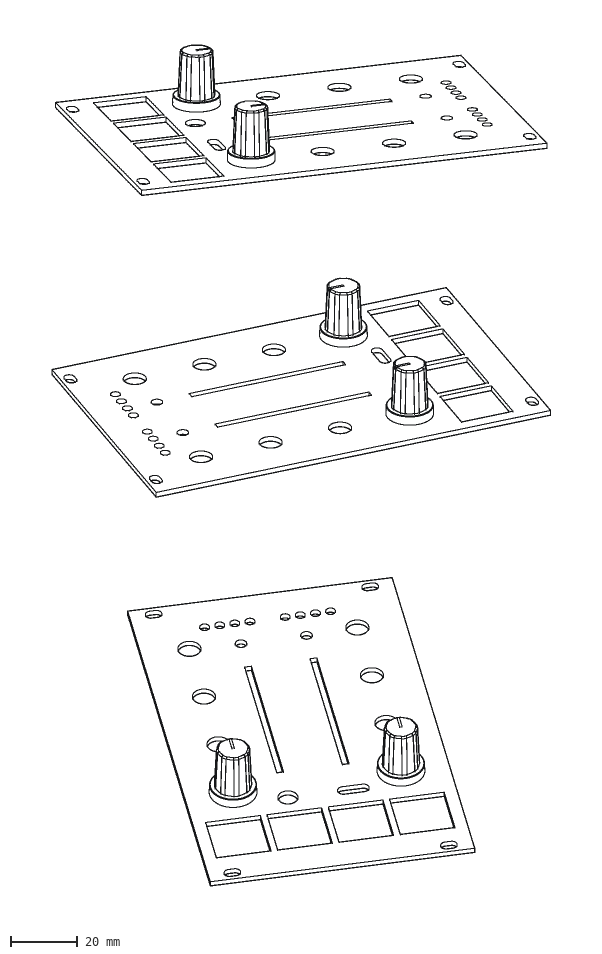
import cadquery as cq
PANEL_WIDTH = 81.0
PANEL_HEIGHT = 128.5
PANEL_THICKNESS = 1.7

SIDES = (-1, 1)

MOUNT_SLOT_LENGTH = 5.0
MOUNT_SLOT_WIDTH = 3.2
MOUNT_X = 33.2
MOUNT_Y = 61.3

LED_HOLE_DIAMETER = 3.0
LED_PITCH = 4.6
LEDS_PER_GROUP = 4
LED_INNER_X = 5.4
LED_Y = 52.4

FADER_X = 10.0
FADER_SLOT_WIDTH = 2.0
FADER_SLOT_LENGTH = 50.1
FADER_SLOT_Y = 6.8
FADER_HOLE_DIAMETER = 3.5
FADER_HOLE_Y = 42.8

CONTROL_X = 25.7
CONTROL_HOLE_DIAMETER = 7.0
CONTROL_TOP_Y = 43.4
KNOB_Y = -24.5
CONTROL_HOLES_PER_COLUMN = 3
CONTROL_PITCH = (CONTROL_TOP_Y - KNOB_Y) / CONTROL_HOLES_PER_COLUMN

PORT_Y = -30.2
JACK_HOLE_DIAMETER = 6.0
PORT_SLOT_LENGTH = 9.6
PORT_SLOT_WIDTH = 3.5

BUTTON_SIZE = 16.7
BUTTON_PITCH = 18.8
BUTTON_COUNT = 4
BUTTON_Y = -45.2

TOTAL_HEIGHT = 18.9
SKIRT_HEIGHT = 3.0
SKIRT_BOTTOM_RADIUS = 7.2
SKIRT_TOP_RADIUS = 7.1
SKIRT_CHAMFER = 0.19

GRIP_HEIGHT = TOTAL_HEIGHT - PANEL_THICKNESS
GRIP_BOTTOM_RADIUS = 5.8
GRIP_TOP_RADIUS = 5.0
GRIP_CHAMFER = 0.5
RIB_COUNT = 8
RIB_WIDTH = 1.5
RIB_HEIGHT = 0.1

POINTER_WIDTH = 0.8
POINTER_DEPTH = 0.6


def make_panel():
    """Flat plate with every opening cut through it."""
    plate = cq.Workplane("XY").rect(PANEL_WIDTH, PANEL_HEIGHT).extrude(PANEL_THICKNESS)

    def at(points):
        """Workplane on the underside of the plate with the given centres."""
        return cq.Workplane("XY").pushPoints(points)

    mounts = [(sx * MOUNT_X, sy * MOUNT_Y) for sx in SIDES for sy in SIDES]
    leds = [(s * (LED_INNER_X + i * LED_PITCH), LED_Y) for s in SIDES for i in range(LEDS_PER_GROUP)]
    controls = [
        (s * CONTROL_X, CONTROL_TOP_Y - i * CONTROL_PITCH)
        for s in SIDES
        for i in range(CONTROL_HOLES_PER_COLUMN)
    ]
    buttons = [((i - (BUTTON_COUNT - 1) / 2) * BUTTON_PITCH, BUTTON_Y) for i in range(BUTTON_COUNT)]
    openings = (
        at(mounts).slot2D(MOUNT_SLOT_LENGTH, MOUNT_SLOT_WIDTH),
        at(leds).circle(LED_HOLE_DIAMETER / 2),
        at([(s * FADER_X, FADER_HOLE_Y) for s in SIDES]).circle(FADER_HOLE_DIAMETER / 2),
        at([(s * FADER_X, FADER_SLOT_Y) for s in SIDES]).rect(FADER_SLOT_WIDTH, FADER_SLOT_LENGTH),
        at(controls).circle(CONTROL_HOLE_DIAMETER / 2),
        at([(-FADER_X, PORT_Y)]).circle(JACK_HOLE_DIAMETER / 2),
        at([(FADER_X, PORT_Y)]).slot2D(PORT_SLOT_LENGTH, PORT_SLOT_WIDTH),
        at(buttons).rect(BUTTON_SIZE, BUTTON_SIZE),
    )
    for opening in openings:
        plate = plate.cut(opening.extrude(PANEL_THICKNESS))
    return plate


def tapered_post(bottom_radius, top_radius, height, chamfer):
    """Cone frustum on the origin with a chamfered top rim."""
    post = cq.Workplane(cq.Solid.makeCone(bottom_radius, top_radius, height))
    return post.faces(">Z").edges().chamfer(chamfer)


def make_grip():
    """Tapered post whose ribs follow the same taper, one rib facing each of eight directions."""
    rib_envelope = tapered_post(GRIP_BOTTOM_RADIUS, GRIP_TOP_RADIUS, GRIP_HEIGHT, GRIP_CHAMFER)
    grip = tapered_post(
        GRIP_BOTTOM_RADIUS - RIB_HEIGHT, GRIP_TOP_RADIUS - RIB_HEIGHT, GRIP_HEIGHT, GRIP_CHAMFER
    )
    bar = cq.Workplane("XY").rect(2 * GRIP_BOTTOM_RADIUS, RIB_WIDTH).extrude(GRIP_HEIGHT)
    for i in range(RIB_COUNT // 2):
        turned_bar = bar.rotate((0, 0, 0), (0, 0, 1), i * 360 / RIB_COUNT)
        grip = grip.union(rib_envelope.intersect(turned_bar))
    return grip


def make_pointer(grip):
    """Bar along +Y, trimmed to the outside of the grip."""
    bar = (
        cq.Workplane("XY")
        .workplane(offset=GRIP_HEIGHT - POINTER_DEPTH)
        .center(0, GRIP_BOTTOM_RADIUS / 2)
        .rect(POINTER_WIDTH, GRIP_BOTTOM_RADIUS)
        .extrude(POINTER_DEPTH)
    )
    return bar.intersect(grip)


def make_skirt(grip):
    """Tapered ring whose bore matches the ribbed outside of the grip."""
    disc = tapered_post(SKIRT_BOTTOM_RADIUS, SKIRT_TOP_RADIUS, SKIRT_HEIGHT, SKIRT_CHAMFER)
    return disc.cut(grip)


def make_knob(x):
    """The skirt, grip and pointer of one knob, placed on the panel."""
    full_grip = make_grip()
    pointer = make_pointer(full_grip)
    skirt = make_skirt(full_grip)
    grip = full_grip.cut(pointer)
    place = cq.Vector(x, KNOB_Y, PANEL_THICKNESS)
    return [part.translate(place).val() for part in (skirt, grip, pointer)]


panel = make_panel()
knob_bodies = []
for side in SIDES:
    knob_bodies.extend(make_knob(side * CONTROL_X))

result = cq.Compound.makeCompound([panel.val(), *knob_bodies])